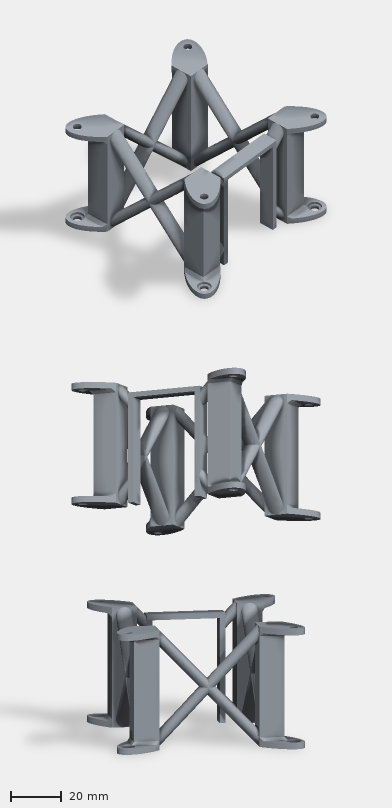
import cadquery as cq
import math

outer_width = 74.7
height = 48.0

post_gap = 40.0
post_side = 10.0
post_inner = post_gap / 2
post_center = post_inner + post_side / 2
gusset = 1.3

ear_thickness = 2.5
ear_half_width = post_side / math.sqrt(2)
ear_reach = math.sqrt(2 * (outer_width / 2 - post_center) ** 2 - ear_half_width ** 2)

hole_position = 33.0
hole_diameter = 3.5
counterbore_diameter = 5.7
counterbore_depth = 1.0

brace_diameter = 6.6

frame_width = 31.4
frame_top = 44.0
frame_leg = 2.25
frame_bar = 2.0
frame_depth = brace_diameter


def ear_outline():
    """Outline of one corner: a half ellipse outside, the square post corner inside."""
    ellipse_plane = cq.Plane(
        origin=(post_center, post_center, 0), xDir=(1, 1, 0), normal=(0, 0, 1)
    )
    return (
        cq.Workplane(ellipse_plane)
        .moveTo(0, -ear_half_width)
        .ellipseArc(ear_reach, ear_half_width, -90, 90, startAtCurrent=True)
        .lineTo(-ear_half_width, 0)
        .close()
    )


def gusset_wedge():
    """Square skirt that narrows from the lower ear up to the post."""
    return (
        cq.Workplane("XY", origin=(post_center, post_center, ear_thickness))
        .rect(post_side + 2 * gusset, post_side + 2 * gusset)
        .workplane(offset=gusset)
        .rect(post_side, post_side)
        .loft(ruled=True)
    )


def ear():
    """Lower ear with its gusset and a plain screw hole."""
    plate = ear_outline().extrude(ear_thickness)
    wedge = gusset_wedge().intersect(ear_outline().extrude(height))
    hole = (
        cq.Workplane("XY")
        .center(hole_position, hole_position)
        .circle(hole_diameter / 2)
        .extrude(ear_thickness)
    )
    return plate.union(wedge).cut(hole)


def counterbore():
    """Recess for a screw head in the upper face of a lower ear, clipping the gusset tip."""
    floor = ear_thickness - counterbore_depth
    return (
        cq.Workplane("XY", origin=(hole_position, hole_position, floor))
        .circle(counterbore_diameter / 2)
        .extrude(counterbore_depth + gusset)
    )


def corner():
    """Post at the +X +Y corner with an ear at each end."""
    post = (
        cq.Workplane("XY")
        .center(post_center, post_center)
        .rect(post_side, post_side)
        .extrude(height)
    )
    lower_ear = ear().cut(counterbore())
    upper_ear = ear().mirror("XY", (0, 0, height / 2))
    return post.union(lower_ear).union(upper_ear)


def brace_arm():
    """One of the four arms of a -Y cross, from the upper -X corner to the crossing point."""
    drop = height - brace_diameter
    start = cq.Vector(-post_inner, -post_center, height - brace_diameter / 2)
    end_face = cq.Face.makeFromWires(
        cq.Wire.makeCircle(brace_diameter / 2, start, cq.Vector(1, 0, 0))
    )
    slanted_bar = cq.Solid.extrudeLinear(end_face, cq.Vector(post_gap, 0, -drop))
    quadrant = cq.Workplane("XY", origin=(-post_inner, -post_center, height / 2)).box(
        post_inner, 2 * brace_diameter, height, centered=(False, True, False)
    )
    return quadrant.intersect(cq.Workplane(slanted_bar))


def brace_cross():
    """X-shaped brace on the -Y side, its ends circular where they meet the posts."""
    upper_left = brace_arm()
    left = upper_left.union(upper_left.mirror("XY", (0, 0, height / 2)))
    return left.union(left.mirror("YZ"))


def frame_block(width, top):
    """Upright block in the plane of the +X braces, standing on the base."""
    return cq.Workplane("XY", origin=(post_center, 0, 0)).rect(frame_depth, width).extrude(top)


result = corner()
for turn in (90, 180, 270):
    result = result.union(corner().rotate((0, 0, 0), (0, 0, 1), turn))
for turn in (0, 90, 180, 270):
    result = result.union(brace_cross().rotate((0, 0, 0), (0, 0, 1), turn))

result = result.union(frame_block(frame_width, frame_top))
result = result.cut(frame_block(frame_width - 2 * frame_leg, frame_top - frame_bar))